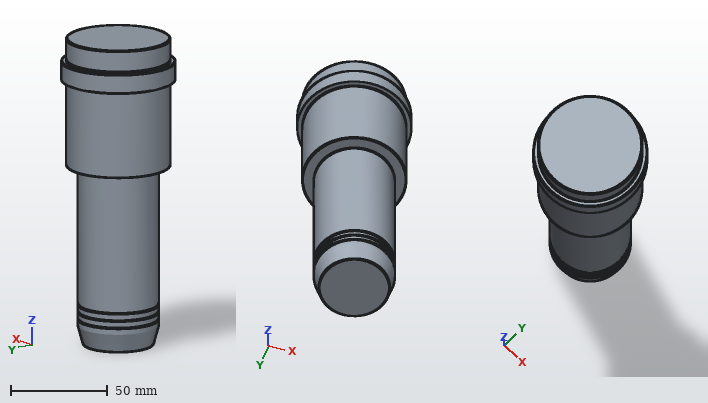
import cadquery as cq

total_height = 163.0
head_height = 68.0
collar_drop = 12.0
collar_height = 10.0
tip_height = 10.1

head_diameter = 54.0
collar_diameter = 59.0
shaft_diameter = 42.0
tip_diameter = 36.8

edge_chamfer = 0.5
top_chamfer = 0.7
relief_width = 1.0
relief_depth = 0.3

groove_count = 3
groove_pitch = 3.9
groove_width = 0.8
groove_depth = 0.5
groove_clearance = 3.1
first_groove_base = tip_height + groove_clearance

head_base = total_height - head_height
collar_top = total_height - collar_drop
collar_base = collar_top - collar_height


def cylinder(diameter, base, height):
    return cq.Workplane("XY").workplane(offset=base).circle(diameter / 2).extrude(height)


def cut_square_groove(body, diameter, base, width, depth):
    """Cut a square ring groove into a cylinder of the given diameter."""
    ring = cylinder(diameter + depth, base, width).cut(
        cylinder(diameter - 2 * depth, base, width)
    )
    return body.cut(ring)


def cut_vee_groove(body, diameter, base, width, depth):
    """Cut a ring groove of triangular section into a cylinder of the given diameter."""
    radius = diameter / 2
    section = [
        (radius, base),
        (radius - depth, base + width / 2),
        (radius, base + width),
    ]
    ring = cq.Workplane("XZ").polyline(section).close().revolve(360, (0, 0, 0), (0, 1, 0))
    return body.cut(ring)


def make_head():
    head = cylinder(head_diameter, head_base, head_height)
    head = head.faces(">Z").chamfer(top_chamfer).faces("<Z").chamfer(edge_chamfer)
    for base in (collar_top, collar_base - relief_width):
        head = cut_vee_groove(head, head_diameter, base, relief_width, relief_depth)
    collar = cylinder(collar_diameter, collar_base, collar_height).faces(">Z").chamfer(edge_chamfer)
    return head.union(collar)


def make_shaft():
    shaft = cylinder(shaft_diameter, tip_height, head_base - tip_height)
    shaft = cut_square_groove(shaft, shaft_diameter, head_base - relief_width, relief_width, relief_depth)
    for index in range(groove_count):
        base = first_groove_base + index * groove_pitch
        shaft = cut_vee_groove(shaft, shaft_diameter, base, groove_width, groove_depth)
    return shaft


def make_tip():
    """Cone that narrows from the shaft down to a chamfered flat end."""
    profile = [
        (0, 0),
        (tip_diameter / 2 - edge_chamfer, 0),
        (tip_diameter / 2, edge_chamfer),
        (shaft_diameter / 2, tip_height),
        (0, tip_height),
    ]
    return cq.Workplane("XZ").polyline(profile).close().revolve(360, (0, 0, 0), (0, 1, 0))


result = make_head().union(make_shaft()).union(make_tip())